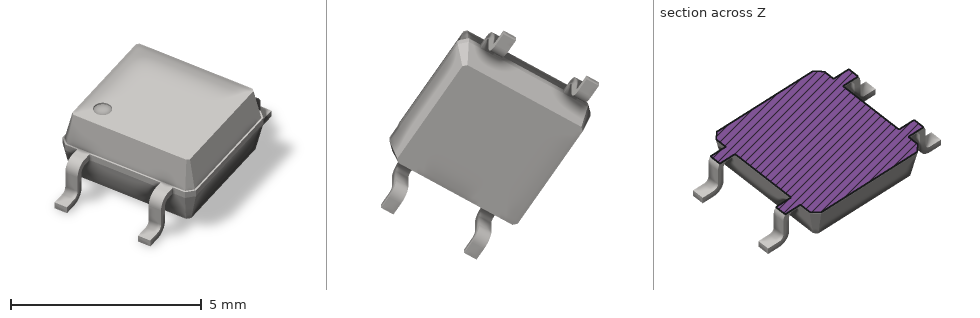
import cadquery as cq
import math

rim_length_x = 4.09
rim_length_y = 3.82
corner_chamfer = 0.21
draft_angle = 12.0
standoff = 0.1
body_top = 2.1
upper_ledge = 0.05

lead_thickness = 0.2
lead_width = 0.38
lead_pitch = 2.56
lead_span = 6.1
lead_top = 1.2
shank_outer_y = 2.51
inner_bend_radius = 0.15
outer_bend_radius = inner_bend_radius + lead_thickness
lead_embed = 0.3

rim_top = lead_top
rim_bottom = rim_top - lead_thickness

mark_diameter = 0.5
mark_x = -1.2
mark_y = -1.07
mark_depth = 0.05


def chamfered_block(inset, z_start, height, taper):
    """Extrude the rim outline, offset inward by inset; a negative height goes down."""
    chamfer = corner_chamfer - inset * (2 - math.sqrt(2))
    half_x = rim_length_x / 2 - inset
    half_y = rim_length_y / 2 - inset
    outline = [
        (half_x, half_y - chamfer),
        (half_x - chamfer, half_y),
        (chamfer - half_x, half_y),
        (-half_x, half_y - chamfer),
        (-half_x, chamfer - half_y),
        (chamfer - half_x, -half_y),
        (half_x - chamfer, -half_y),
        (half_x, chamfer - half_y),
    ]
    sketch = cq.Workplane("XY").workplane(offset=z_start).polyline(outline).close()
    return sketch.extrude(height, taper=taper)


def make_body():
    rim = chamfered_block(0, rim_bottom, lead_thickness, 0)
    lower = chamfered_block(0, rim_bottom, standoff - rim_bottom, draft_angle)
    upper = chamfered_block(upper_ledge, rim_top, body_top - rim_top, draft_angle)
    return rim.union(lower).union(upper)


def make_lead(x_center):
    """Gull-wing lead on the +Y side, centred on x_center."""
    root_y = rim_length_y / 2 - lead_embed
    tip_y = lead_span / 2
    shank_inner_y = shank_outer_y - lead_thickness
    upper_bend_y = shank_outer_y - outer_bend_radius
    upper_bend_z = lead_top - outer_bend_radius
    lower_bend_y = shank_outer_y + inner_bend_radius
    lower_bend_z = outer_bend_radius
    diagonal = math.sqrt(0.5)
    outer_reach = outer_bend_radius * diagonal
    inner_reach = inner_bend_radius * diagonal
    profile = (
        cq.Workplane("YZ")
        .workplane(offset=x_center)
        .moveTo(root_y, lead_top)
        .lineTo(upper_bend_y, lead_top)
        .threePointArc(
            (upper_bend_y + outer_reach, upper_bend_z + outer_reach),
            (shank_outer_y, upper_bend_z),
        )
        .lineTo(shank_outer_y, lower_bend_z)
        .threePointArc(
            (lower_bend_y - inner_reach, lower_bend_z - inner_reach),
            (lower_bend_y, lead_thickness),
        )
        .lineTo(tip_y, lead_thickness)
        .lineTo(tip_y, 0)
        .lineTo(lower_bend_y, 0)
        .threePointArc(
            (lower_bend_y - outer_reach, lower_bend_z - outer_reach),
            (shank_inner_y, lower_bend_z),
        )
        .lineTo(shank_inner_y, upper_bend_z)
        .threePointArc(
            (upper_bend_y + inner_reach, upper_bend_z + inner_reach),
            (upper_bend_y, rim_bottom),
        )
        .lineTo(root_y, rim_bottom)
        .close()
    )
    return profile.extrude(lead_width / 2, both=True)


def make_mark():
    """Shallow round recess in the top face beside pin 1."""
    return (
        cq.Workplane("XY")
        .workplane(offset=body_top)
        .center(mark_x, mark_y)
        .circle(mark_diameter / 2)
        .extrude(-mark_depth)
    )


result = make_body()
for lead_x in (-lead_pitch / 2, lead_pitch / 2):
    lead = make_lead(lead_x)
    result = result.union(lead).union(lead.mirror("XZ"))
result = result.cut(make_mark())